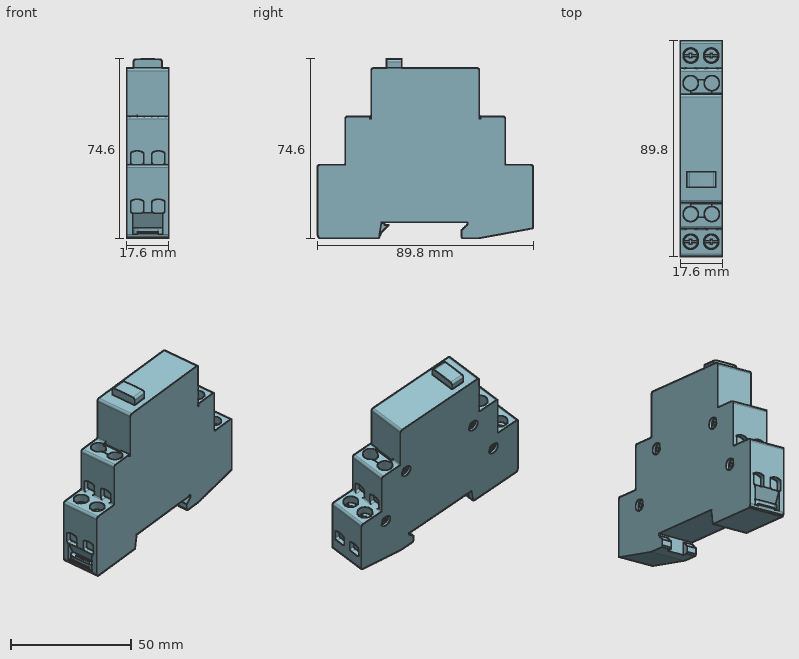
import cadquery as cq

WIDTH = 17.6
HALF_LENGTH = 44.9
HALF_MIDDLE = 33.3
HALF_TOP = 22.5
LOWER_Z = 30.6
TIER_RISE = 20.1
UPPER_Z = LOWER_Z + TIER_RISE
TOP_Z = UPPER_Z + TIER_RISE
TIER_ROUND = 1.1
BASE_ROUND = 0.45
SIDE_X = WIDTH / 2

SLOT_Z = 6.65
HOOK_ROOT_Y = 17.5
HOOK_ROOT_Z = 5.75
HOOK_TIP_Y = 15.0
HOOK_TIP_Z = 3.3
HOOK_CHAMFER_Y = 0.4
HOOK_CHAMFER_Z = 0.7
HOOK_GAP_WIDTH = 8.3
SLOPE_START_Y = 22.45
SLOPE_END_Z = 4.1
SLOPE_ROUND = 0.6
SLOT_WALL_TOP_Y = -18.2
SLOT_WALL_FOOT_Y = -19.3
TOE_HEIGHT = 1.8
TOE_INSET = 0.4
TOE_CHAMFER = 0.5

TERMINAL_X = 4.4
LOWER_RIGHT_X = 4.1
LOWER_SCREW_Y = 38.7
UPPER_SCREW_Y = 27.2
SCREW_HOLE_D = 6.3
UPPER_HOLE_DEPTH = 7.2
LOWER_HOLE_DEPTH = 5.3
SCREW_HEAD_D = 5.75
SCREW_HEAD_HEIGHT = 1.8
DRIVE_DEPTH = 0.45
DRIVE_SLOT_WIDTH = 0.8
DRIVE_CROSS_WIDTH = 1.0
DRIVE_CROSS_LENGTH = 2.0
LINK_HALF_WIDTH = 4.3
LINK_END_Y = 28.6
LINK_DEPTH = 0.8
GROOVE_DEPTH = 1.1

ENTRY_WIDTH = 5.4
ENTRY_SIDE_HEIGHT = 4.9
ENTRY_HEIGHT = 5.75
ENTRY_DEPTH = 2.25
ENTRY_ROUND = 0.9
LOWER_ENTRY_Z = LOWER_Z - TIER_RISE

RIVET_D = 5.0
RIVET_DEPTH = 1.35
RIVET_PIN_D = 1.7
RIVET_PIN_HEIGHT = 0.6
UPPER_RIVET = (19.2, 44.7)
LOWER_RIVET = (30.8, 23.2)

BUTTON_WIDTH = 11.9
BUTTON_LENGTH = 6.5
BUTTON_Y = -12.9
BUTTON_TOP_Z = 74.6
BUTTON_CROWN = 0.2
BUTTON_ROUND = 1.1

LATCH_WIDTH = 12.6
RECESS_TOP_Z = LOWER_ENTRY_Z + 0.1
RECESS_DEPTH = 3.0
LATCH_TOP_Z = 4.4
LATCH_INSET = 0.4
LATCH_CORNER = 2.2
LIP_WIDTH = 8.8
LIP_HEIGHT = 0.4
UNDERCUT_HEIGHT = 0.5
UNDERCUT_DEPTH = 1.35
PIT_HALF_WIDTH = 3.6
PIT_START = 1.6
PIT_DEPTH = 0.5
NOSE_TIP_Y = -15.1
NOSE_TIP_Z = 5.6
NOSE_NECK_Y = -16.9
NOSE_NECK_Z = 6.3
NOSE_KNEE_Y = -18.1
NOSE_KNEE_Z = 2.5


def box(x0, x1, y0, y1, z0, z1):
    """Axis-aligned box between two opposite corners."""
    size = (x1 - x0, y1 - y0, z1 - z0)
    return cq.Workplane("XY").box(*size, centered=False).translate((x0, y0, z0))


def extrude_yz(points, width):
    """Extrude a closed (Y, Z) outline symmetrically along X."""
    return cq.Workplane("YZ").polyline(points).close().extrude(width / 2, both=True)


def mirrored(shape):
    """The shape together with its mirror image at the other end of the housing."""
    return shape.union(shape.mirror("XZ"))


def round_edges_at(body, y, z, radius):
    """Round the crosswise edges through (y, z)."""
    corner = cq.selectors.BoxSelector((-WIDTH, y - 0.1, z - 0.1), (WIDTH, y + 0.1, z + 0.1))
    return body.edges("|X").edges(corner).fillet(radius)


def housing():
    outline = [
        (HALF_TOP, TOP_Z),
        (HALF_TOP, UPPER_Z),
        (HALF_MIDDLE, UPPER_Z),
        (HALF_MIDDLE, LOWER_Z),
        (HALF_LENGTH, LOWER_Z),
        (HALF_LENGTH, SLOPE_END_Z),
        (SLOPE_START_Y, 0),
        (HOOK_TIP_Y + HOOK_CHAMFER_Y, 0),
        (HOOK_TIP_Y, HOOK_CHAMFER_Z),
        (HOOK_TIP_Y, HOOK_TIP_Z),
        (HOOK_ROOT_Y, HOOK_ROOT_Z),
        (HOOK_ROOT_Y, SLOT_Z),
        (SLOT_WALL_TOP_Y, SLOT_Z),
        (SLOT_WALL_FOOT_Y, 0),
        (-HALF_LENGTH + TOE_INSET + TOE_CHAMFER, 0),
        (-HALF_LENGTH + TOE_INSET, TOE_CHAMFER),
        (-HALF_LENGTH, TOE_HEIGHT),
        (-HALF_LENGTH, LOWER_Z),
        (-HALF_MIDDLE, LOWER_Z),
        (-HALF_MIDDLE, UPPER_Z),
        (-HALF_TOP, UPPER_Z),
        (-HALF_TOP, TOP_Z),
    ]
    body = extrude_yz(outline, WIDTH)
    body = round_edges_at(body, HALF_LENGTH, SLOPE_END_Z, SLOPE_ROUND)
    for end in (-1, 1):
        for half, z in ((HALF_TOP, TOP_Z), (HALF_MIDDLE, UPPER_Z), (HALF_LENGTH, LOWER_Z)):
            body = round_edges_at(body, end * half, z, TIER_ROUND)
        for half, z in ((HALF_TOP, UPPER_Z), (HALF_MIDDLE, LOWER_Z)):
            body = round_edges_at(body, end * half, z, BASE_ROUND)
    return body


def hook_gap():
    """Cutter for the opening that splits the rail hook in two."""
    half = HOOK_GAP_WIDTH / 2
    return box(-half, half, HOOK_TIP_Y, HOOK_ROOT_Y, 0, SLOT_Z)


def screw_hole(x, y, top_z, depth):
    hole = cq.Workplane("XY").circle(SCREW_HOLE_D / 2).extrude(-depth)
    return hole.translate((x, y, top_z))


def upper_terminals():
    """Cutter for the upper screw holes and the shallow pocket linking them."""
    link = box(-LINK_HALF_WIDTH, LINK_HALF_WIDTH, HALF_TOP, LINK_END_Y,
               UPPER_Z - LINK_DEPTH, UPPER_Z)
    groove = box(-LINK_HALF_WIDTH, SIDE_X, HALF_TOP, HALF_TOP + BASE_ROUND,
                 UPPER_Z - GROOVE_DEPTH, UPPER_Z + BASE_ROUND)
    cutter = link.union(groove)
    for x in (-TERMINAL_X, TERMINAL_X):
        cutter = cutter.union(screw_hole(x, UPPER_SCREW_Y, UPPER_Z, UPPER_HOLE_DEPTH))
    return mirrored(cutter)


def lower_terminals():
    """Cutter for the lower screw holes, leaving a slotted screw head in each."""
    head = cq.Workplane("XY").circle(SCREW_HEAD_D / 2).extrude(SCREW_HEAD_HEIGHT)
    drive = cq.Workplane("XY").workplane(offset=SCREW_HEAD_HEIGHT - DRIVE_DEPTH)
    head = head.cut(drive.rect(SCREW_HEAD_D, DRIVE_SLOT_WIDTH).extrude(DRIVE_DEPTH))
    head = head.cut(drive.rect(DRIVE_CROSS_WIDTH, DRIVE_CROSS_LENGTH).extrude(DRIVE_DEPTH))
    floor_z = LOWER_Z - LOWER_HOLE_DEPTH
    cutter = cq.Workplane("XY")
    for x in (-TERMINAL_X, LOWER_RIGHT_X):
        hole = screw_hole(x, LOWER_SCREW_Y, LOWER_Z, LOWER_HOLE_DEPTH)
        cutter = cutter.union(hole.cut(head.translate((x, LOWER_SCREW_Y, floor_z))))
    return mirrored(cutter)


def wire_entries(wall_y, floor_z):
    """Cutter for a pair of arch-topped wire pockets in both end walls of a tier."""
    half = ENTRY_WIDTH / 2
    pocket = (
        cq.Workplane("XZ")
        .moveTo(-half, 0)
        .lineTo(half, 0)
        .lineTo(half, ENTRY_SIDE_HEIGHT)
        .threePointArc((0, ENTRY_HEIGHT), (-half, ENTRY_SIDE_HEIGHT))
        .close()
        .extrude(-(ENTRY_DEPTH + BASE_ROUND))
        .edges("|Y")
        .fillet(ENTRY_ROUND)
        .translate((0, -wall_y - BASE_ROUND, floor_z))
    )
    pair = pocket.translate((-TERMINAL_X, 0, 0)).union(pocket.translate((TERMINAL_X, 0, 0)))
    return mirrored(pair)


def side_rivets():
    """Cutter for the rivet recesses in the -X side, each leaving a central pin."""
    spots = [(end * y, z) for end in (-1, 1) for y, z in (UPPER_RIVET, LOWER_RIVET)]
    recesses = (
        cq.Workplane("YZ", origin=(-SIDE_X, 0, 0))
        .pushPoints(spots)
        .circle(RIVET_D / 2)
        .extrude(RIVET_DEPTH)
    )
    pins = (
        cq.Workplane("YZ", origin=(-SIDE_X + RIVET_DEPTH, 0, 0))
        .pushPoints(spots)
        .circle(RIVET_PIN_D / 2)
        .extrude(-RIVET_PIN_HEIGHT)
    )
    return recesses.cut(pins)


def button():
    """Push button with a slightly crowned top and rounded side edges."""
    half = BUTTON_WIDTH / 2
    side_top_z = BUTTON_TOP_Z - BUTTON_CROWN
    return (
        cq.Workplane("XZ", origin=(0, BUTTON_Y, 0))
        .moveTo(-half, TOP_Z)
        .lineTo(half, TOP_Z)
        .lineTo(half, side_top_z)
        .threePointArc((0, BUTTON_TOP_Z), (-half, side_top_z))
        .close()
        .extrude(BUTTON_LENGTH / 2, both=True)
        .edges("|Y")
        .edges(">Z")
        .fillet(BUTTON_ROUND)
    )


def latch_recess():
    """Cutter for the latch opening in the -Y wall, with a back that slopes inwards."""
    outline = [
        (-HALF_LENGTH, TOE_HEIGHT),
        (-HALF_LENGTH + RECESS_DEPTH, TOE_HEIGHT),
        (-HALF_LENGTH + RECESS_DEPTH, LATCH_TOP_Z),
        (-HALF_LENGTH, RECESS_TOP_Z),
    ]
    return extrude_yz(outline, LATCH_WIDTH)


def latch():
    """Visible ends of the rail latch: the pull with its lip, and the nose in the slot."""
    half = LATCH_WIDTH / 2
    front_y = -HALF_LENGTH + LATCH_INSET
    back_y = -HALF_LENGTH + RECESS_DEPTH
    pull = box(-half, half, front_y, back_y, TOE_HEIGHT, LATCH_TOP_Z)
    pull = pull.edges("|Z and <Y").fillet(LATCH_CORNER)
    pull = pull.cut(box(-PIT_HALF_WIDTH, PIT_HALF_WIDTH, -HALF_LENGTH + PIT_START, back_y,
                        LATCH_TOP_Z - PIT_DEPTH, LATCH_TOP_Z))
    lip_z = TOE_HEIGHT + LIP_HEIGHT
    pull = pull.cut(box(-LIP_WIDTH / 2, LIP_WIDTH / 2, front_y, front_y + UNDERCUT_DEPTH,
                        lip_z, lip_z + UNDERCUT_HEIGHT))
    lip = box(-LIP_WIDTH / 2, LIP_WIDTH / 2, -HALF_LENGTH, back_y, TOE_HEIGHT, lip_z)
    nose = extrude_yz(
        [
            (SLOT_WALL_FOOT_Y, 0),
            (NOSE_KNEE_Y, NOSE_KNEE_Z),
            (NOSE_TIP_Y, NOSE_TIP_Z),
            (NOSE_NECK_Y, NOSE_TIP_Z),
            (NOSE_NECK_Y, NOSE_NECK_Z),
            (SLOT_WALL_FOOT_Y, NOSE_NECK_Z),
        ],
        LATCH_WIDTH,
    )
    return pull.union(lip).union(nose)


body = housing()
body = body.cut(hook_gap())
body = body.cut(upper_terminals())
body = body.cut(lower_terminals())
body = body.cut(wire_entries(HALF_MIDDLE, LOWER_Z))
body = body.cut(wire_entries(HALF_LENGTH, LOWER_ENTRY_Z))
body = body.cut(side_rivets())
body = body.cut(latch_recess())
result = body.union(latch()).union(button())